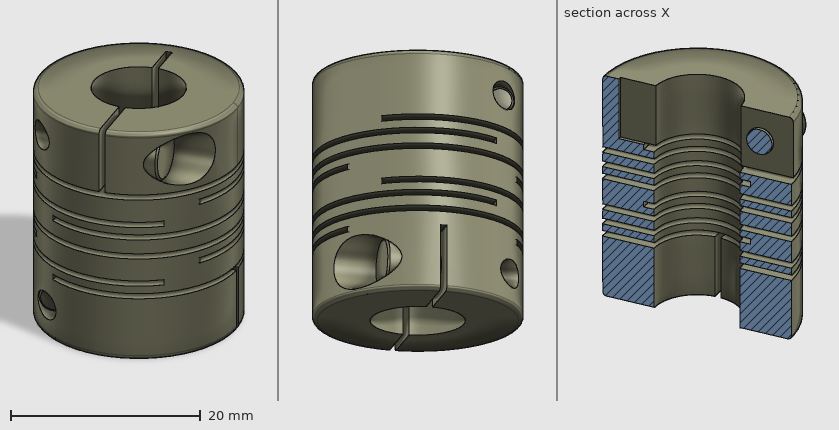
import cadquery as cq

length = 26.5
outer_radius = 11.1
bore_radius = 5.0
rim_fillet = 0.5

slot_width = 0.6
web_offset = 6.23
outer_slot_offset = 5.78
second_slot_offset = 4.3
third_slot_offset = 2.57
inner_slot_offset = 1.1

slit_width = 0.7
slit_reach = 9.15

screw_inset = 3.6
screw_offset = 7.3
shank_radius = 1.5
shank_chamfer = 0.3
shank_end = -6.75
head_radius = 2.75
head_seat = 2.73
head_end = 5.75
head_chamfer = 0.2
counterbore_radius = 2.95

half_length = length / 2
body_size = 2 * outer_radius
hub_height = half_length - outer_slot_offset - slot_width / 2


def make_body():
    """Bored cylinder with rounded outer rims."""
    cylinder = cq.Workplane("XY").circle(outer_radius).extrude(length)
    cylinder = cylinder.translate((0, 0, -half_length))
    rounded = cylinder.edges("%CIRCLE").fillet(rim_fillet)
    return rounded.faces(">Z").workplane().hole(2 * bore_radius)


def make_slot(height, opening_angle):
    """Slot opening toward opening_angle (from +X), with its web on the opposite side."""
    slot = cq.Workplane("XY").box(body_size, body_size, slot_width)
    slot = slot.translate((outer_radius - web_offset, 0, height))
    return slot.rotate((0, 0, 0), (0, 0, 1), opening_angle)


def make_rod(radius, start, end):
    """Cylinder along the X axis from start to end."""
    return cq.Workplane("YZ", origin=(start, 0, 0)).circle(radius).extrude(end - start)


def place_in_upper_hub(shape):
    """Move a shape built around the X axis onto the upper screw axis."""
    return shape.translate((0, -screw_offset, half_length - screw_inset))


def make_screw_hole():
    """Counterbored hole along X, for the upper hub."""
    hole = make_rod(shank_radius, -outer_radius, outer_radius)
    seat = make_rod(counterbore_radius, head_seat, outer_radius)
    return place_in_upper_hub(hole.union(seat))


def make_screw():
    """Cap screw along X, with its head toward +X, for the upper hub."""
    shank = make_rod(shank_radius, shank_end, head_seat)
    shank = shank.faces("<X").chamfer(shank_chamfer)
    head = make_rod(head_radius, head_seat, head_end)
    head = head.faces(">X").chamfer(head_chamfer)
    return place_in_upper_hub(shank.union(head))


def to_lower_hub(shape):
    """Half turn about the X = Y diagonal, which takes the upper hub to the lower one."""
    return shape.rotate((0, 0, 0), (1, 1, 0), 180)


result = make_body()

slot_heights = [
    outer_slot_offset,
    second_slot_offset,
    third_slot_offset,
    inner_slot_offset,
    -inner_slot_offset,
    -third_slot_offset,
    -second_slot_offset,
    -outer_slot_offset,
]
opening_angles = [270, 90, 180, 0] * 2
for height, angle in zip(slot_heights, opening_angles):
    result = result.cut(make_slot(height, angle))

slit_length = outer_radius + slit_reach
upper_slit = cq.Workplane("XY").box(slit_width, slit_length, hub_height)
upper_slit = upper_slit.translate((0, slit_reach - slit_length / 2, half_length - hub_height / 2))
lower_slit = cq.Workplane("XY").box(body_size, slit_width, hub_height)
lower_slit = lower_slit.translate((0, 0, hub_height / 2 - half_length))
result = result.cut(upper_slit).cut(lower_slit)

screw_hole = make_screw_hole()
screw = make_screw()
result = result.cut(screw_hole).cut(to_lower_hub(screw_hole))
result = result.union(screw).union(to_lower_hub(screw))